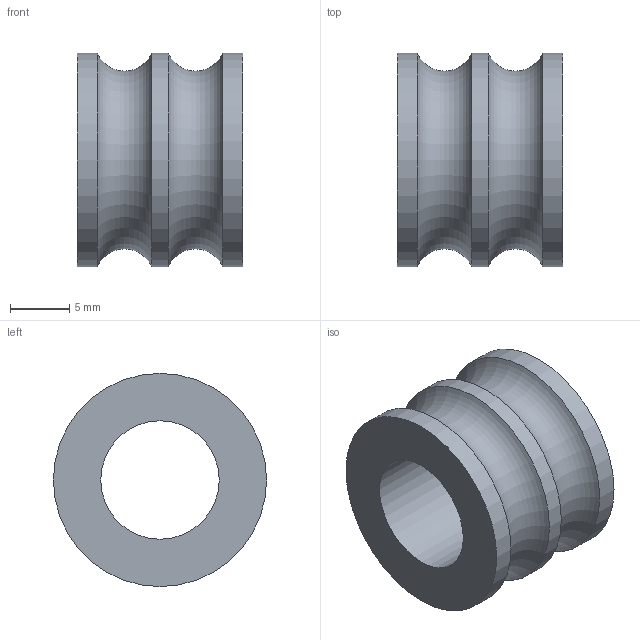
import cadquery as cq
import math

length = 14.0
outer_diameter = 18.0
bore_diameter = 10.0

groove_spacing = 6.0
groove_arc_radius = 2.5
groove_depth = 1.5

outer_radius = outer_diameter / 2
bore_radius = bore_diameter / 2
groove_floor_radius = outer_radius - groove_depth
arc_rise_above_rim = groove_arc_radius - groove_depth
groove_half_width = math.sqrt(groove_arc_radius**2 - arc_rise_above_rim**2)
groove_centres = (-groove_spacing / 2, groove_spacing / 2)


def roller_half_section():
    """Closed half section of the wall, above the X axis."""
    section = cq.Workplane("XY").moveTo(-length / 2, bore_radius).lineTo(-length / 2, outer_radius)
    for centre in groove_centres:
        section = section.lineTo(centre - groove_half_width, outer_radius)
        section = section.threePointArc(
            (centre, groove_floor_radius),
            (centre + groove_half_width, outer_radius),
        )
    return section.lineTo(length / 2, outer_radius).lineTo(length / 2, bore_radius).close()


axis_start = (0, 0, 0)
axis_end = (1, 0, 0)
result = roller_half_section().revolve(360, axis_start, axis_end)